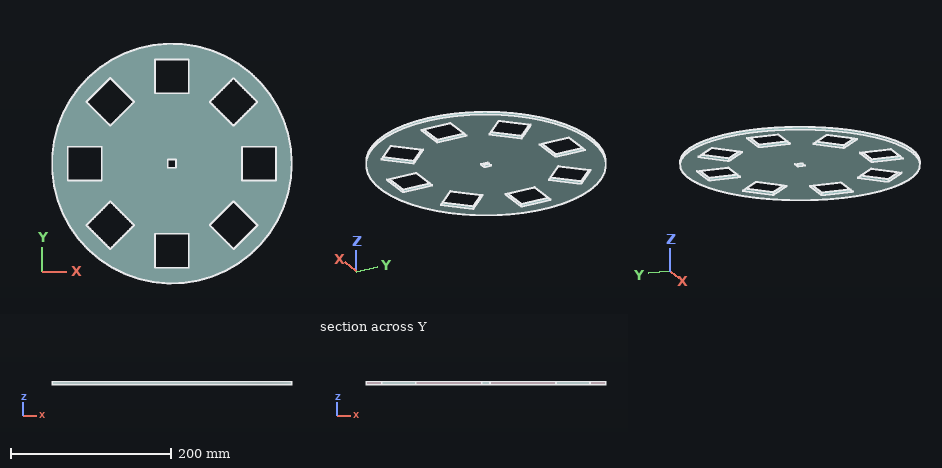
import cadquery as cq

disc_diameter = 300.0
thickness = 4.0

window_count = 8
window_side = 42.0
window_circle_radius = 109.0

drive_hole_side = 10.0

disc = cq.Workplane("XY").circle(disc_diameter / 2).extrude(thickness)

windows = (
    cq.Workplane("XY")
    .polarArray(window_circle_radius, 0, 360, window_count)
    .rect(window_side, window_side)
    .extrude(thickness)
)

drive_hole = cq.Workplane("XY").rect(drive_hole_side, drive_hole_side).extrude(thickness)

result = disc.cut(windows).cut(drive_hole)